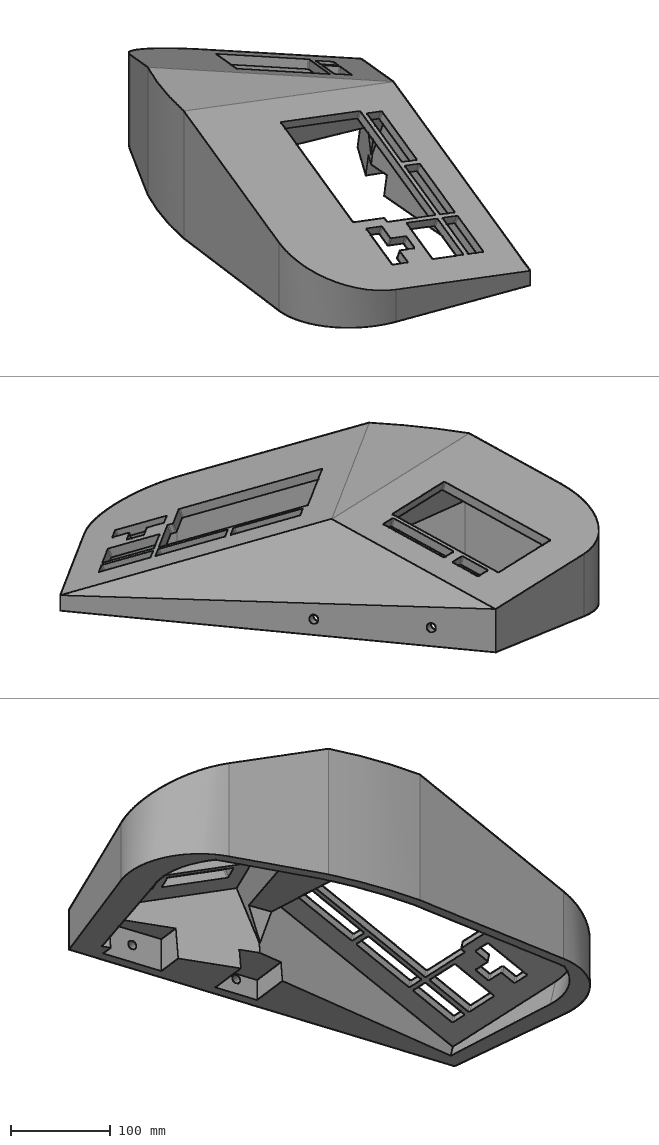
import math

import cadquery as cq

APEX_HEIGHT = 111.2
EDGE_YAW = 10.05
EDGE_DIP = 18.87
PANEL_PITCH = 7.5
BODY_TURN = -0.48

LEFT = -1
RIGHT = 1
PANEL_WIDTH = {LEFT: 203.8, RIGHT: 293.6}
PANEL_DEPTH = 250.8
PANEL_CORNER_RADIUS = 90.0
FRONT_BULGE = 3.1

PANEL_THICKNESS = 10.0
WALL_THICKNESS = 12.0
INNER_MARGIN = 21.0
REACH = 400.0

CENTRE_ROOM_BACK = -24.0
CENTRE_ROOM_HEIGHT = 72.5
TUNNEL_START = -21.4
TUNNEL_WIDTH = 50.0
TUNNEL_HEIGHT = 22.5
ALCOVE_END = -86.4
ALCOVE_WIDTH = 70.0
ALCOVE_HEIGHT = 36.0

PORT_DIAMETER = 9.5
TUNNEL_PORT_HEIGHT = 16.5
ALCOVE_PORT_HEIGHT = 19.5

OPENING_DEPTH = PANEL_THICKNESS + 1.0
OPENING_RADIUS = 1.2
SLOT_TOP = 36.0
SLOT_HEIGHT = 18.0
WINDOW_TOP = 59.3
WINDOW_BOTTOM = 154.3
WINDOW_START = 35.0
LEFT_WINDOW_END = 167.0
RIGHT_WINDOW_END = 196.5
RIGHT_WINDOW_LOWER_END = 190.3
RIGHT_WINDOW_STEP = 117.0
LONG_SLOT_WIDTH = 75.5
SHORT_SLOT_WIDTH = 32.0
FIRST_SLOT_START = 39.6
LEFT_SHORT_SLOT_START = 125.6
RIGHT_SECOND_SLOT_START = 120.9
PAD_START = 201.7
PAD_WIDTH = 56.0
PAD_WINDOW_TOP = 60.0
PAD_WINDOW_HEIGHT = 37.0
KEY_PITCH = 18.7
ARROWS_TOP = 107.7


def panel_plane(side):
    """Plane on the panel's outer face: origin at the apex, x along the back edge."""
    yaw = math.radians(EDGE_YAW)
    dip = math.radians(EDGE_DIP)
    along = cq.Vector(
        side * math.cos(dip) * math.cos(yaw),
        math.cos(dip) * math.sin(yaw),
        -math.sin(dip),
    )
    level = cq.Vector(-side * math.sin(yaw), math.cos(yaw), 0)
    upright = along.cross(level) * side
    pitch = math.radians(PANEL_PITCH)
    normal = upright * math.cos(pitch) + level * math.sin(pitch)
    return cq.Plane(origin=(0, 0, APEX_HEIGHT), xDir=along, normal=normal)


PANEL_PLANE = {side: panel_plane(side) for side in (LEFT, RIGHT)}


def on_panel(side, across, down):
    """Point on a panel's outer face."""
    return PANEL_PLANE[side].toWorldCoords((across, -side * down))


def panel_sketch(side, points, depth=0.0):
    """Closed polygon of (across, down) points, set below the panel's face by depth."""
    local_points = [(across, -side * down) for across, down in points]
    return cq.Workplane(PANEL_PLANE[side]).workplane(offset=-depth).polyline(local_points).close()


def rectangle(across, down, width, height):
    return [
        (across, down),
        (across + width, down),
        (across + width, down + height),
        (across, down + height),
    ]


def drop(edges):
    """Vertical prism under a closed loop of edges."""
    outline = cq.Wire.assembleEdges(edges)
    return cq.Workplane(cq.Solid.extrudeLinear(outline, [], cq.Vector(0, 0, -REACH)))


def panel_block(side):
    """Prism under one panel, with the outer front corner rounded in the panel's plane."""
    width = PANEL_WIDTH[side]
    radius = PANEL_CORNER_RADIUS
    side_end = on_panel(side, width, PANEL_DEPTH - radius)
    front_end = on_panel(side, width - radius, PANEL_DEPTH)
    inset = radius * (1 - math.sqrt(0.5))
    corner_middle = on_panel(side, width - inset, PANEL_DEPTH - inset)
    apex = on_panel(side, 0, 0)
    back_corner = on_panel(side, width, 0)
    inner_corner = on_panel(side, 0, PANEL_DEPTH)
    return drop([
        cq.Edge.makeLine(apex, back_corner),
        cq.Edge.makeLine(back_corner, side_end),
        cq.Edge.makeThreePointArc(side_end, corner_middle, front_end),
        cq.Edge.makeLine(front_end, inner_corner),
        cq.Edge.makeLine(inner_corner, apex),
    ])


def middle_block():
    """Prism under the flat middle facet, whose front edge bulges outwards."""
    apex = on_panel(LEFT, 0, 0)
    left_end = on_panel(LEFT, 0, PANEL_DEPTH)
    right_end = on_panel(RIGHT, 0, PANEL_DEPTH)
    chord_middle = (left_end + right_end) * 0.5
    forward = (chord_middle - apex).normalized()
    return drop([
        cq.Edge.makeLine(apex, left_end),
        cq.Edge.makeThreePointArc(left_end, chord_middle + forward * FRONT_BULGE, right_end),
        cq.Edge.makeLine(right_end, apex),
    ])


def back_block():
    """Prism under the sloping triangle between the apex and the two back corners."""
    apex = on_panel(LEFT, 0, 0)
    left_corner = on_panel(LEFT, PANEL_WIDTH[LEFT], 0)
    right_corner = on_panel(RIGHT, PANEL_WIDTH[RIGHT], 0)
    return drop([
        cq.Edge.makeLine(apex, right_corner),
        cq.Edge.makeLine(right_corner, left_corner),
        cq.Edge.makeLine(left_corner, apex),
    ])


def outer_body():
    blocks = panel_block(LEFT).union(panel_block(RIGHT)).union(middle_block()).union(back_block())
    above_floor = cq.Workplane().box(2 * REACH, 2 * REACH, REACH, centered=(True, True, False))
    return blocks.intersect(above_floor)


def pocket(side):
    """Pocket square to the panel, with its outer front corner rounded like the outline."""
    width = PANEL_WIDTH[side] - INNER_MARGIN - WALL_THICKNESS
    height = PANEL_DEPTH - 2 * WALL_THICKNESS
    outline = rectangle(INNER_MARGIN, WALL_THICKNESS, width, height)
    block = panel_sketch(side, outline, PANEL_THICKNESS).extrude(-REACH)
    normal = PANEL_PLANE[side].zDir
    outer_front = on_panel(side, PANEL_WIDTH[side], PANEL_DEPTH)
    corner = outer_front - normal * (PANEL_THICKNESS + REACH / 2)
    corner_edge = block.edges(cq.selectors.ParallelDirSelector(normal)).edges(
        cq.selectors.NearestToPointSelector(corner.toTuple())
    )
    return corner_edge.fillet(PANEL_CORNER_RADIUS - WALL_THICKNESS)


def floor_box(x_start, y_start, width, depth, height):
    """Box standing on the floor."""
    box = cq.Workplane().box(width, depth, height, centered=False)
    return box.translate((x_start, y_start, 0))


def centre_room():
    """Room under the middle facet that joins the two pockets."""
    left_end = on_panel(LEFT, 0, PANEL_DEPTH)
    right_end = on_panel(RIGHT, 0, PANEL_DEPTH)
    width = right_end.x - left_end.x
    return floor_box(left_end.x, CENTRE_ROOM_BACK - REACH, width, REACH, CENTRE_ROOM_HEIGHT)


def front_cavity(outer):
    """Pockets and centre room, kept one wall thickness behind the front of the body."""
    behind_front_wall = outer.translate((0, WALL_THICKNESS, 0))
    return pocket(LEFT).union(pocket(RIGHT)).union(centre_room()).intersect(behind_front_wall)


def back_cavity(outer):
    """Tunnel under the apex and alcove beside it, kept one wall thickness inside the back."""
    tunnel = floor_box(TUNNEL_START, CENTRE_ROOM_BACK, TUNNEL_WIDTH, REACH, TUNNEL_HEIGHT)
    alcove_start = ALCOVE_END - ALCOVE_WIDTH
    alcove = floor_box(alcove_start, CENTRE_ROOM_BACK, ALCOVE_WIDTH, REACH, ALCOVE_HEIGHT)
    before_back_wall = outer.translate((0, -WALL_THICKNESS, 0))
    return tunnel.union(alcove).intersect(before_back_wall)


def port(x, height):
    """Round hole running straight back through the back wall."""
    start = cq.Vector(x, 0, height)
    backwards = cq.Vector(0, 1, 0)
    return cq.Workplane(cq.Solid.makeCylinder(PORT_DIAMETER / 2, REACH, start, backwards))


def opening(side, points):
    """Opening through the panel, square to it, with slightly rounded corners."""
    cutter = panel_sketch(side, points).extrude(-OPENING_DEPTH)
    along_depth = cq.selectors.ParallelDirSelector(PANEL_PLANE[side].zDir)
    return cutter.edges(along_depth).fillet(OPENING_RADIUS)


def left_openings():
    window_width = LEFT_WINDOW_END - WINDOW_START
    window_height = WINDOW_BOTTOM - WINDOW_TOP
    outlines = [
        rectangle(FIRST_SLOT_START, SLOT_TOP, LONG_SLOT_WIDTH, SLOT_HEIGHT),
        rectangle(LEFT_SHORT_SLOT_START, SLOT_TOP, SHORT_SLOT_WIDTH, SLOT_HEIGHT),
        rectangle(WINDOW_START, WINDOW_TOP, window_width, window_height),
    ]
    return [opening(LEFT, outline) for outline in outlines]


def right_openings():
    outlines = [
        rectangle(FIRST_SLOT_START, SLOT_TOP, LONG_SLOT_WIDTH, SLOT_HEIGHT),
        rectangle(RIGHT_SECOND_SLOT_START, SLOT_TOP, LONG_SLOT_WIDTH, SLOT_HEIGHT),
        rectangle(PAD_START, SLOT_TOP, PAD_WIDTH, SLOT_HEIGHT),
        rectangle(PAD_START, PAD_WINDOW_TOP, PAD_WIDTH, PAD_WINDOW_HEIGHT),
    ]
    outlines.append([
        (WINDOW_START, WINDOW_TOP),
        (RIGHT_WINDOW_END, WINDOW_TOP),
        (RIGHT_WINDOW_END, RIGHT_WINDOW_STEP),
        (RIGHT_WINDOW_LOWER_END, RIGHT_WINDOW_STEP),
        (RIGHT_WINDOW_LOWER_END, WINDOW_BOTTOM),
        (WINDOW_START, WINDOW_BOTTOM),
    ])
    stem_start = PAD_START + (PAD_WIDTH - KEY_PITCH) / 2
    stem_end = stem_start + KEY_PITCH
    row_top = ARROWS_TOP + KEY_PITCH
    row_bottom = row_top + KEY_PITCH
    row_end = PAD_START + PAD_WIDTH
    outlines.append([
        (stem_start, ARROWS_TOP),
        (stem_end, ARROWS_TOP),
        (stem_end, row_top),
        (row_end, row_top),
        (row_end, row_bottom),
        (PAD_START, row_bottom),
        (PAD_START, row_top),
        (stem_start, row_top),
    ])
    return [opening(RIGHT, outline) for outline in outlines]


outer_shape = outer_body()
cutters = [
    front_cavity(outer_shape),
    back_cavity(outer_shape),
    port(TUNNEL_START + TUNNEL_WIDTH / 2, TUNNEL_PORT_HEIGHT),
    port(ALCOVE_END - ALCOVE_WIDTH / 2, ALCOVE_PORT_HEIGHT),
]
body = outer_shape
for cutter in cutters + left_openings() + right_openings():
    body = body.cut(cutter)

result = body.rotate((0, 0, 0), (0, 0, 1), BODY_TURN)